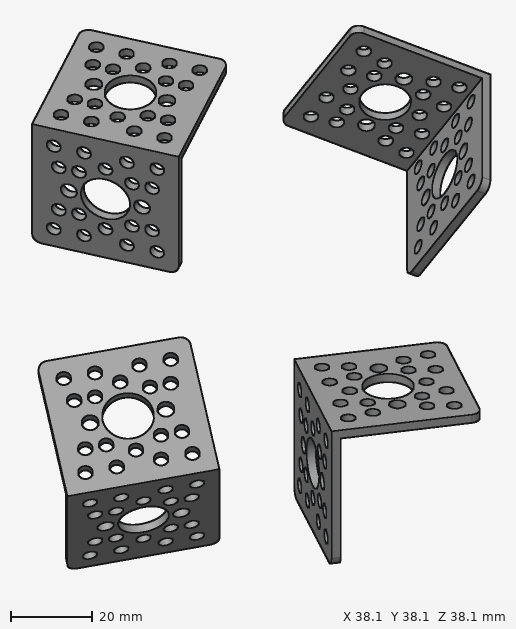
import cadquery as cq
import math

side = 38.1
half_side = side / 2
thickness = 2.35
corner_radius = 2.55

bore_diameter = 12.73
small_hole_diameter = 3.62
side_hole_diameter = 4.15

bolt_circle_radius = 9.7
cluster_offset = 9.5
outer_pair_half_pitch = 3.92
outer_row_height = 13.4

inner_row_height = bolt_circle_radius * math.sin(math.radians(45))
inner_pair_half_pitch = cluster_offset - inner_row_height


def row_pairs(half_pitch, row_height):
    """Two pairs of holes in each of two rows, mirrored about the leg centre."""
    return [
        (x_sign * (cluster_offset + pitch_sign * half_pitch), y_sign * row_height)
        for x_sign in (-1, 1)
        for pitch_sign in (-1, 1)
        for y_sign in (-1, 1)
    ]


def leg():
    """Flat leg, top face at half_side, with two rounded corners on +Y."""
    plate = (
        cq.Workplane("XY")
        .box(side, side, thickness)
        .translate((0, 0, half_side - thickness / 2))
        .edges("|Z and >Y")
        .fillet(corner_radius)
    )

    small_holes = row_pairs(outer_pair_half_pitch, outer_row_height)
    small_holes += row_pairs(inner_pair_half_pitch, inner_row_height)
    small_holes += [(0, bolt_circle_radius), (0, -bolt_circle_radius)]
    side_holes = [(cluster_offset, 0), (-cluster_offset, 0)]

    for points, diameter in (
        ([(0, 0)], bore_diameter),
        (small_holes, small_hole_diameter),
        (side_holes, side_hole_diameter),
    ):
        cutters = (
            cq.Workplane("XY")
            .workplane(offset=half_side - thickness)
            .pushPoints(points)
            .circle(diameter / 2)
            .extrude(thickness)
        )
        plate = plate.cut(cutters)
    return plate


top_leg = leg()
upright_leg = top_leg.rotate((0, 0, 0), (1, 0, 0), 90).mirror("XY")

result = top_leg.union(upright_leg)